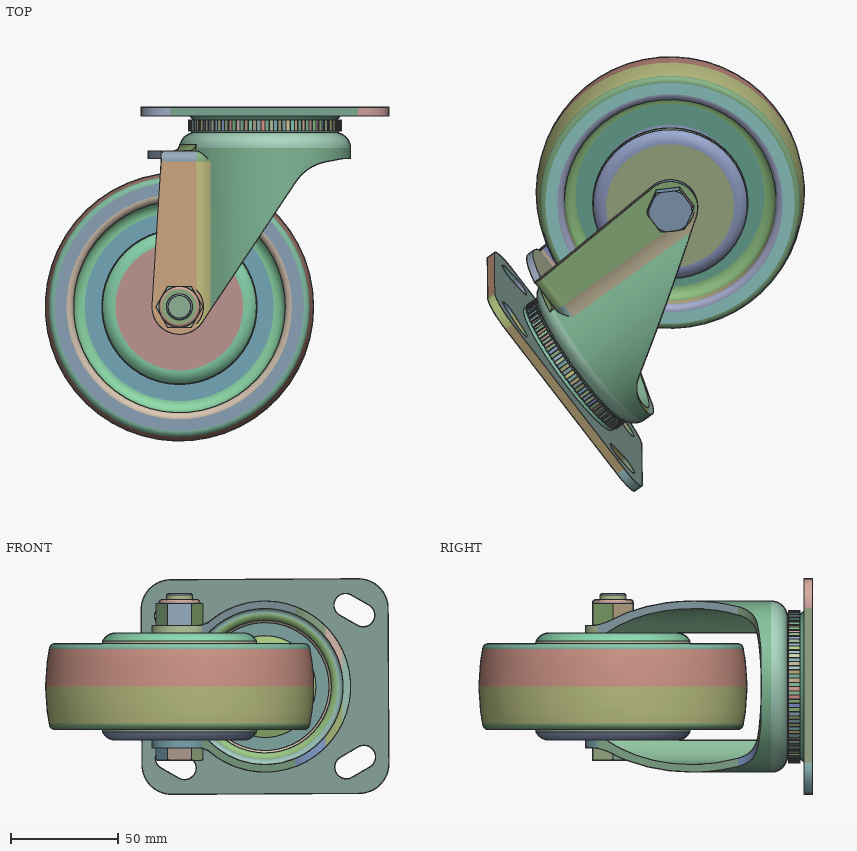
import cadquery as cq
import math


wheel_diameter = 125.0
wheel_width = 40.0
axle_offset = 39.8
axle_x = -axle_offset
axle_radius = 6.1
wheel_radius = wheel_diameter / 2
wheel_half_width = wheel_width / 2
crown_drop = 1.8
shoulder_round = 2.7
rim_inner_radius = 52.5
rim_bore_radius = 49.3
web_corner_radius = 5.3
web_half_thickness = 5.3
hub_radius = 30.1
hub_fillet = 4.0

cap_radius = 36.2
cap_thickness = 7.7
cap_face_radius = 29.8
cap_shoulder_radius = 35.8
cap_rim_depth = 6.1
cap_base_radius = 35.5
cap_shoulder_drop = 3.8

sheet = 3.5
leg_gap = 50.0
leg_inner_z = leg_gap / 2
leg_outer_z = leg_inner_z + sheet
leg_end_radius = 12.8
seat_radius = 11.2
cup_radius = 39.8
cup_top_y = 81.1
cup_fillet = 7.4
bridge_top_y = 72.7
bridge_front_radius = 54.4
nose_half_width = 26.0
bridge_thickness = 3.7
bridge_bottom_y = bridge_top_y - bridge_thickness
bridge_blend = 2.9
leg_top_x = -48.3
bend_radius = 5.1
flare_radius = 10.4
skirt_corner = (19.4, 65.8)
skirt_corner_radius = 21.6
skirt_flat_x = 36.2
cup_inner_fillet = 2.2
hole_radius = 30.9
hole_round = 3.0

plate_length = 115.0
plate_width = 100.0
plate_thickness = 4.2
plate_corner_radius = 14.0
plate_turn = 0.3
plate_top_y = 93.0
plate_bottom_y = plate_top_y - plate_thickness
slot_x = 41.8
slot_z = 35.4
slot_pitch = 9.5
slot_width = 10.7
slot_angle = 30.0
neck_top_radius = 35.0
neck_radius = 33.5

ring_top_y = 87.0
ring_radius = 35.5
tooth_count = 56
tooth_depth = 0.6
ring_bottom_y = 81.8
ring_lip_radius = 34.2
race_recess = 1.1
dome_radius = 23.7
dome_tip_radius = 14.4
dome_height = 3.2

hex_flats = 19.0
head_height = 6.0
hex_chamfer = 0.5
nut_height = 10.1
collar_height = 2.0
collar_fillet = 1.5
bolt_end_z = 43.4
bolt_end_chamfer = 0.8


def cylinder_y(radius, y_low, y_high):
    """Cylinder on the swivel axis."""
    return cq.Workplane("XZ", origin=(0, y_low, 0)).circle(radius).extrude(y_low - y_high)


def cylinder_z(radius, z_low, z_high):
    """Cylinder on the axle."""
    return cq.Workplane("XY", origin=(axle_x, 0, z_low)).circle(radius).extrude(z_high - z_low)


def hexagon_z(z_low, height):
    """Hexagonal prism on the axle, with two corners on the X direction."""
    corner_diameter = hex_flats / math.cos(math.pi / 6)
    return cq.Workplane("XY", origin=(axle_x, 0, z_low)).polygon(6, corner_diameter).extrude(height)


def tangent_point(centre, radius, point, side):
    """Point where the line from `point` touches a circle; side is +1 or -1."""
    dx = point[0] - centre[0]
    dy = point[1] - centre[1]
    angle = math.atan2(dy, dx) + side * math.acos(radius / math.hypot(dx, dy))
    return (centre[0] + radius * math.cos(angle), centre[1] + radius * math.sin(angle))


def box(x_low, x_high, y_low, y_high, half_z):
    """Block that is symmetric about Z = 0."""
    return cq.Workplane("XY").box(x_high - x_low, y_high - y_low, 2 * half_z).translate(
        ((x_low + x_high) / 2, (y_low + y_high) / 2, 0)
    )


def make_plate():
    plate = (
        cq.Workplane("XY")
        .box(plate_length, plate_thickness, plate_width)
        .edges("|Y")
        .fillet(plate_corner_radius)
        .translate((0, plate_top_y - plate_thickness / 2, 0))
    )
    for sx in (1, -1):
        for sz in (1, -1):
            slot = (
                cq.Workplane("XZ", origin=(sx * slot_x, plate_top_y, sz * slot_z))
                .slot2D(slot_pitch + slot_width, slot_width, -sx * sz * slot_angle)
                .extrude(plate_thickness)
            )
            plate = plate.cut(slot)
    plate = plate.rotate((0, 0, 0), (0, 1, 0), -plate_turn)
    neck = (
        cq.Workplane("XY")
        .polyline(
            [
                (0, ring_top_y),
                (neck_radius, ring_top_y),
                (neck_top_radius, plate_bottom_y),
                (0, plate_bottom_y),
            ]
        )
        .close()
        .revolve(360, (0, 0, 0), (0, 1, 0))
    )
    return plate.union(neck)


def make_ring():
    tooth_angle = math.pi / tooth_count
    root_radius = ring_radius - tooth_depth
    points = []
    for i in range(tooth_count):
        start = 2 * i * tooth_angle
        corners = (
            (root_radius, start),
            (ring_radius, start),
            (ring_radius, start + tooth_angle),
            (root_radius, start + tooth_angle),
        )
        for radius, angle in corners:
            points.append((radius * math.sin(angle), radius * math.cos(angle)))
    ring = (
        cq.Workplane("XZ", origin=(0, ring_top_y, 0))
        .polyline(points)
        .close()
        .extrude(ring_top_y - ring_bottom_y)
    )
    ring = ring.union(cylinder_y(ring_lip_radius, cup_top_y, ring_bottom_y))
    return ring.cut(cylinder_y(hole_radius, cup_top_y, ring_top_y))


def make_race():
    rim_y = cup_top_y - sheet + hole_round - race_recess
    face_y = rim_y + race_recess
    return (
        cq.Workplane("XY")
        .polyline(
            [
                (0, ring_top_y),
                (hole_radius, ring_top_y),
                (hole_radius, rim_y),
                (hole_radius - race_recess, face_y),
                (dome_radius, face_y),
                (dome_tip_radius, face_y - dome_height),
                (0, face_y - dome_height),
            ]
        )
        .close()
        .revolve(360, (0, 0, 0), (0, 1, 0))
    )


def fork_strap(bottom_y):
    """Solid strap whose sides flare out to meet the cup, with the bends rounded."""
    flare_z = leg_outer_z + flare_radius
    flare_x = -math.sqrt((cup_radius + flare_radius) ** 2 - flare_z**2)
    flare_angle = math.atan2(flare_z, -flare_x)
    meet = (-cup_radius * math.cos(flare_angle), cup_radius * math.sin(flare_angle))
    half_turn = (math.pi / 2 - flare_angle) / 2
    middle = (
        flare_x + flare_radius * math.sin(half_turn),
        flare_z - flare_radius * math.cos(half_turn),
    )
    strap = (
        cq.Workplane("XZ", origin=(0, bridge_top_y, 0))
        .moveTo(-bridge_front_radius, leg_outer_z)
        .lineTo(flare_x, leg_outer_z)
        .threePointArc(middle, meet)
        .lineTo(0, 0)
        .lineTo(meet[0], -meet[1])
        .threePointArc((middle[0], -middle[1]), (flare_x, -leg_outer_z))
        .lineTo(-bridge_front_radius, -leg_outer_z)
        .close()
        .extrude(bridge_top_y - bottom_y)
    )
    leg_middle_x = (flare_x - bridge_front_radius) / 2
    for side in (1, -1):
        top_edge = cq.NearestToPointSelector((leg_middle_x, bridge_top_y, side * leg_outer_z))
        strap = strap.edges(top_edge).fillet(bend_radius)
    return strap


def bridge_nose():
    """Flat end of the bridge in front of the legs, rounded about the swivel axis."""
    back_x = -math.sqrt(bridge_front_radius**2 - nose_half_width**2)
    block = box(-bridge_front_radius, back_x, bridge_bottom_y, bridge_top_y, nose_half_width)
    return block.intersect(cylinder_y(bridge_front_radius, bridge_bottom_y, bridge_top_y))


def bridge_fillet():
    """Concave ring sector that blends the bridge into the front of the cup."""
    outer = cup_radius + bridge_blend
    upper = bridge_top_y + bridge_blend
    lean = bridge_blend * (1 - math.sqrt(0.5))
    return (
        cq.Workplane("XY")
        .moveTo(cup_radius - sheet, bridge_top_y)
        .lineTo(outer, bridge_top_y)
        .threePointArc((cup_radius + lean, bridge_top_y + lean), (cup_radius, upper))
        .lineTo(cup_radius - sheet, upper)
        .close()
        .revolve(360, (0, 0, 0), (0, 1, 0))
        .intersect(box(-outer, 0, bridge_top_y, upper, leg_outer_z - bend_radius))
    )


def fork_outline():
    """Side outline of the fork, wide enough in Z to trim the whole fork."""
    axle = (axle_x, 0)
    front = tangent_point(axle, leg_end_radius, (leg_top_x, bridge_bottom_y), 1)
    rear = tangent_point(axle, leg_end_radius, skirt_corner, -1)
    outline = (
        cq.Workplane("XY", origin=(0, 0, -cup_radius))
        .moveTo(leg_top_x, cup_top_y)
        .lineTo(leg_top_x, bridge_bottom_y)
        .lineTo(*front)
        .threePointArc((axle_x, -leg_end_radius), rear)
        .lineTo(*skirt_corner)
        .lineTo(skirt_flat_x, bridge_bottom_y)
        .lineTo(cup_radius, bridge_bottom_y)
        .lineTo(cup_radius, cup_top_y)
        .close()
        .extrude(2 * cup_radius)
    )
    corner = cq.NearestToPointSelector((skirt_corner[0], skirt_corner[1], 0))
    return outline.edges(corner).fillet(skirt_corner_radius)


def hole_flare(low_y):
    """Trumpet-shaped cutter that rounds the lower edge of the fork hole."""
    outer = hole_radius + hole_round
    lean = hole_round * (1 - math.sqrt(0.5))
    return (
        cq.Workplane("XY")
        .moveTo(0, low_y)
        .lineTo(outer, low_y)
        .threePointArc((hole_radius + lean, low_y + lean), (hole_radius, low_y + hole_round))
        .lineTo(0, low_y + hole_round)
        .close()
        .revolve(360, (0, 0, 0), (0, 1, 0))
    )


def make_fork():
    bottom_y = -leg_end_radius
    inner_top_y = cup_top_y - sheet
    cup = cylinder_y(cup_radius, bottom_y, cup_top_y).faces(">Y").edges().fillet(cup_fillet)
    cup_hollow = (
        cylinder_y(cup_radius - sheet, bottom_y, inner_top_y)
        .faces(">Y")
        .edges()
        .fillet(cup_inner_fillet)
    )
    channel = (
        box(-bridge_front_radius, 0, bottom_y, bridge_bottom_y, leg_inner_z)
        .edges("|X and >Y")
        .fillet(bend_radius - sheet)
    )
    hole = cylinder_y(hole_radius, inner_top_y, cup_top_y).union(hole_flare(inner_top_y))
    fork = cup.union(fork_strap(bottom_y)).union(bridge_fillet())
    fork = fork.intersect(fork_outline()).union(bridge_nose())
    fork = fork.cut(cup_hollow).cut(channel).cut(hole)
    fork = fork.cut(cylinder_z(axle_radius, -leg_outer_z, leg_outer_z))
    fork = fork.cut(cylinder_z(seat_radius, leg_outer_z, cup_radius))
    return fork.cut(cylinder_z(seat_radius, -cup_radius, -leg_outer_z))


def make_wheel():
    hub_end_z = leg_inner_z - cap_thickness
    shoulder_z = wheel_half_width - shoulder_round
    shoulder_radius = wheel_radius - crown_drop
    rim_outer_radius = shoulder_radius - shoulder_round
    rim_round = rim_inner_radius - rim_bore_radius
    diagonal = math.sqrt(0.5)
    shoulder_middle = (
        rim_outer_radius + shoulder_round * diagonal,
        shoulder_z + shoulder_round * diagonal,
    )
    rim_middle = (
        rim_inner_radius - rim_round * diagonal,
        wheel_half_width - rim_round * (1 - diagonal),
    )
    web_middle = (
        rim_bore_radius - web_corner_radius * (1 - diagonal),
        web_half_thickness + web_corner_radius * (1 - diagonal),
    )
    hub_middle = (
        hub_radius + hub_fillet * (1 - diagonal),
        web_half_thickness + hub_fillet * (1 - diagonal),
    )
    tread_bulge = crown_drop * 3 / 4
    half = (
        cq.Workplane("XZ")
        .moveTo(axle_radius, 0)
        .lineTo(wheel_radius, 0)
        .threePointArc((shoulder_radius + tread_bulge, shoulder_z / 2), (shoulder_radius, shoulder_z))
        .threePointArc(shoulder_middle, (rim_outer_radius, wheel_half_width))
        .lineTo(rim_inner_radius, wheel_half_width)
        .threePointArc(rim_middle, (rim_bore_radius, wheel_half_width - rim_round))
        .lineTo(rim_bore_radius, web_half_thickness + web_corner_radius)
        .threePointArc(web_middle, (rim_bore_radius - web_corner_radius, web_half_thickness))
        .lineTo(hub_radius + hub_fillet, web_half_thickness)
        .threePointArc(hub_middle, (hub_radius, web_half_thickness + hub_fillet))
        .lineTo(hub_radius, hub_end_z)
        .lineTo(axle_radius, hub_end_z)
        .close()
        .revolve(360, (0, 0, 0), (0, 1, 0))
    )
    return half.union(half.mirror("XY")).translate((axle_x, 0, 0))


def make_cap(side):
    shoulder_run = cap_shoulder_radius - cap_face_radius
    shoulder_curve = (shoulder_run**2 + cap_shoulder_drop**2) / (2 * cap_shoulder_drop)
    half_angle = math.asin(shoulder_run / shoulder_curve) / 2
    shoulder_middle = (
        cap_face_radius + shoulder_curve * math.sin(half_angle),
        leg_inner_z - shoulder_curve * (1 - math.cos(half_angle)),
    )
    cap = (
        cq.Workplane("XZ")
        .moveTo(axle_radius, leg_inner_z)
        .lineTo(cap_face_radius, leg_inner_z)
        .threePointArc(shoulder_middle, (cap_shoulder_radius, leg_inner_z - cap_shoulder_drop))
        .lineTo(cap_radius, leg_inner_z - cap_rim_depth)
        .lineTo(cap_base_radius, leg_inner_z - cap_rim_depth)
        .lineTo(cap_base_radius, leg_inner_z - cap_thickness)
        .lineTo(axle_radius, leg_inner_z - cap_thickness)
        .close()
        .revolve(360, (0, 0, 0), (0, 1, 0))
        .translate((axle_x, 0, 0))
    )
    return cap if side > 0 else cap.mirror("XY")


def make_bolt():
    head_bottom_z = -leg_outer_z - head_height
    rounding = (
        cylinder_z(hex_flats / 2 / math.cos(math.pi / 6), head_bottom_z, -leg_outer_z)
        .faces("<Z")
        .edges()
        .chamfer(hex_chamfer, 2 * hex_chamfer)
    )
    head = hexagon_z(head_bottom_z, head_height).intersect(rounding)
    shank = cylinder_z(axle_radius, -leg_outer_z, bolt_end_z).faces(">Z").chamfer(bolt_end_chamfer)
    return head.union(shank)


def make_nut():
    top_z = leg_outer_z + nut_height
    collar = (
        cylinder_z(hex_flats / 2, leg_outer_z, top_z + collar_height)
        .faces(">Z")
        .edges()
        .fillet(collar_fillet)
    )
    nut = hexagon_z(leg_outer_z, nut_height).union(collar)
    return nut.cut(cylinder_z(axle_radius, leg_outer_z, top_z + collar_height))


plate = make_plate()
ring = make_ring()
race = make_race()
fork = make_fork()
wheel = make_wheel()
caps = [make_cap(side) for side in (1, -1)]
bolt = make_bolt()
nut = make_nut()

result = cq.Compound.makeCompound(
    [
        plate.val(),
        ring.val(),
        race.val(),
        fork.val(),
        wheel.val(),
        *[cap.val() for cap in caps],
        bolt.val(),
        nut.val(),
    ]
)